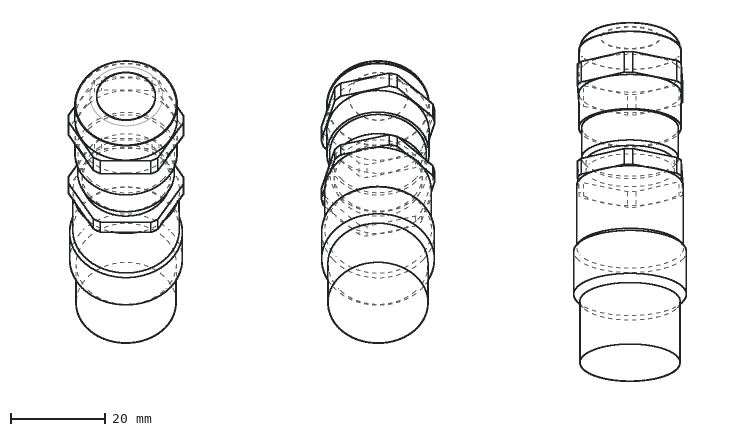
import cadquery as cq
import math

spigot_top = 14.1
collar_bottom = 15.65
collar_top = 25.5
body_bottom = 26.2
lower_hex_bottom = 40.5
lower_hex_top = 44.1
sleeve_bottom = 46.0
sleeve_chamfer_top = 46.85
cap_bottom = 53.8
upper_hex_bottom = 61.6
upper_hex_top = 66.3
dome_bottom = 71.5
total_height = 74.5

spigot_radius = 10.65
collar_radius = 12.0
body_radius = 11.3
neck_radius = 9.4
sleeve_radius = 10.3
cap_radius = 10.9
dome_radius = 10.7

hex_across_flats = 22.05
hex_corner_diameter = 24.5

recess_radius = 6.25
recess_depth = 0.15


def cylinder(radius, bottom, top):
    """Upright cylinder on the Z axis."""
    return cq.Workplane("XY").workplane(offset=bottom).circle(radius).extrude(top - bottom)


def cone(bottom_radius, top_radius, bottom, top):
    """Conical transition on the Z axis."""
    profile = [(0, bottom), (bottom_radius, bottom), (top_radius, top), (0, top)]
    return cq.Workplane("XZ").polyline(profile).close().revolve(360, (0, 0, 0), (0, 1, 0))


def hexagon(bottom, top):
    """Hexagonal wrench section with its corners turned off."""
    diameter_over_points = hex_across_flats / math.cos(math.pi / 6)
    prism = (
        cq.Workplane("XY")
        .workplane(offset=bottom)
        .polygon(6, diameter_over_points)
        .extrude(top - bottom)
        .rotate((0, 0, 0), (0, 0, 1), 30)
    )
    return prism.intersect(cylinder(hex_corner_diameter / 2, bottom, top))


def dome():
    """Rounded end of the cap, with a flat top."""
    height = total_height - dome_bottom
    return cylinder(dome_radius, upper_hex_top, total_height).faces(">Z").edges().fillet(height)


sections = [
    cone(spigot_radius, collar_radius, spigot_top, collar_bottom),
    cylinder(collar_radius, collar_bottom, collar_top),
    cone(collar_radius, body_radius, collar_top, body_bottom),
    cylinder(body_radius, body_bottom, lower_hex_bottom),
    hexagon(lower_hex_bottom, lower_hex_top),
    cylinder(neck_radius, lower_hex_top, sleeve_bottom),
    cone(neck_radius, sleeve_radius, sleeve_bottom, sleeve_chamfer_top),
    cylinder(sleeve_radius, sleeve_chamfer_top, cap_bottom),
    cylinder(cap_radius, cap_bottom, dome_bottom),
    hexagon(upper_hex_bottom, upper_hex_top),
    dome(),
]

result = cylinder(spigot_radius, 0, spigot_top)
for section in sections:
    result = result.union(section)

result = result.cut(cylinder(recess_radius, total_height - recess_depth, total_height))